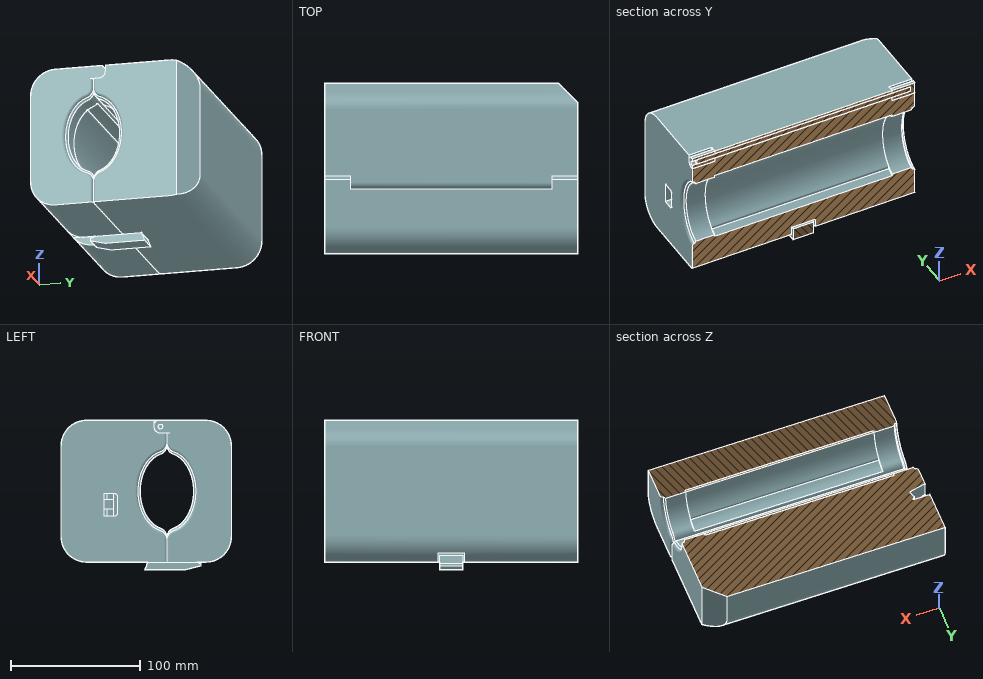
import cadquery as cq
import math

length = 196.0
back_depth = 82.0
front_depth = 50.0
height = 110.0
corner_radius = 20.0
corner_cut_x = 15.0
corner_cut_y = 15.0
half_length = length / 2
half_height = height / 2

pick_reach = 1.0

bore_y = 20.6
bore_z = 29.5
flare_radius = 7.5
mouth_growth = 1.8
mouth_depth = 2.1
taper_depth = 1.2
rim_radius = 2.0

end_wall = 20.0
liner_length = length - 2 * end_wall
liner_thickness = 1.5
liner_edge_y = 10.5
liner_edge_radius = 0.8

hinge_radius = 5.0
hinge_y = hinge_radius
hinge_z = half_height - hinge_radius
hinge_chamfer = 2.5
pin_diameter = 3.59
pin_recess = 4.0
pin_range = (-half_length + pin_recess, half_length - pin_recess)

latch_width = 18.0
latch_bottom = -60.84
latch_slot_roof = -48.0
latch_top = -49.6
latch_lip_y = 17.2
latch_heel_y = 14.9
latch_underside_y = -14.5
latch_tip_y = -26.4
latch_tip_low = -57.8
latch_tip_high = -56.1
latch_ramp_y = -12.0
latch_slot_width = 20.7

socket_y_low = 38.1
socket_y_high = 48.6
socket_floor_y = 41.3
socket_crease_y = 43.6
socket_ridge_y = 46.5
socket_z_low = -19.2
socket_z_high = -1.8
socket_depth = 14.0
socket_ridge_depth = 12.0
socket_crease_depth = 13.0
socket_corner = 1.7
groove_z_low = -13.6
groove_z_high = -6.6
groove_depth = 16.0
groove_crease_depth = 15.0


def box(x_range, y_range, z_range):
    ranges = (x_range, y_range, z_range)
    size = [high - low for low, high in ranges]
    corner = tuple(low for low, high in ranges)
    return cq.Workplane("XY").box(*size, centered=False).translate(corner)


def flare_touch_angle(radius_y, radius_z):
    """Angle on the oval, from the Y axis, where the flare along the split runs into it."""
    bisection_steps = 50
    low, high = math.pi / 4, math.pi / 2
    for _ in range(bisection_steps):
        angle = (low + high) / 2
        normal_y = math.cos(angle) / radius_y
        normal_z = math.sin(angle) / radius_z
        flare_center_y = radius_y * math.cos(angle) + flare_radius * normal_y / math.hypot(normal_y, normal_z)
        if flare_center_y > flare_radius:
            low = angle
        else:
            high = angle
    return angle


def half_bore_section(x, growth):
    """Closed outline of the +Y half of the bore at one place along X."""
    radius_y = bore_y + growth
    radius_z = bore_z + growth
    angle = flare_touch_angle(radius_y, radius_z)
    touch_y = radius_y * math.cos(angle)
    touch_z = radius_z * math.sin(angle)
    tip_z = touch_z + math.sqrt(flare_radius**2 - (flare_radius - touch_y) ** 2)
    sweep = math.atan2(tip_z - touch_z, flare_radius - touch_y)
    middle_y = flare_radius - flare_radius * math.cos(sweep / 2)
    middle_z = tip_z - flare_radius * math.sin(sweep / 2)
    outline = (
        cq.Workplane("YZ", origin=(x, 0, 0))
        .moveTo(0, -tip_z)
        .threePointArc((middle_y, -middle_z), (touch_y, -touch_z))
        .ellipseArc(radius_y, radius_z, -math.degrees(angle), math.degrees(angle), startAtCurrent=True)
        .threePointArc((middle_y, middle_z), (0, tip_z))
        .close()
    )
    return outline.val()


def half_bore():
    """The +Y half of the bore, straight in the middle with a short taper to each wider mouth."""
    mouth_x = half_length - mouth_depth
    straight_x = mouth_x - taper_depth
    stations = [
        (-half_length, mouth_growth),
        (-mouth_x, mouth_growth),
        (-straight_x, 0),
        (straight_x, 0),
        (mouth_x, mouth_growth),
        (half_length, mouth_growth),
    ]
    pieces = []
    for start, end in zip(stations, stations[1:]):
        sections = [half_bore_section(*start), half_bore_section(*end)]
        pieces.append(cq.Workplane(obj=cq.Solid.makeLoft(sections, True)))
    bore = pieces[0]
    for piece in pieces[1:]:
        bore = bore.union(piece)
    return bore


def outer_block():
    block = box((-half_length, half_length), (-front_depth, back_depth), (-half_height, half_height))
    block = block.edges("|X").fillet(corner_radius)
    corner_cut = (
        cq.Workplane("XY")
        .moveTo(half_length, back_depth)
        .lineTo(half_length - corner_cut_x, back_depth)
        .lineTo(half_length, back_depth - corner_cut_y)
        .close()
        .extrude(height, both=True)
    )
    return block.cut(corner_cut)


def bore_with_round_rims():
    """The +Y half of the bore together with the rounding of the split and bore edges at both ends."""
    blank = box((-half_length, half_length), (0, back_depth), (-half_height, half_height))
    bored = blank.cut(half_bore())
    reach_y = bore_y + mouth_growth
    reach_z = half_height - pick_reach
    inside = cq.selectors.BoxSelector((-length, -pick_reach, -reach_z), (length, reach_y, reach_z))
    bored = bored.faces("<X or >X").edges(inside).fillet(rim_radius)
    return blank.cut(bored)


def liner_pocket():
    """Both sides of the wider middle stretch of the bore, where the liner shells lie."""
    radius_y = bore_y + liner_thickness
    radius_z = bore_z + liner_thickness
    profile = cq.Workplane("YZ").ellipse(radius_z, radius_y, rotation_angle=90)
    return profile.extrude(liner_length / 2, both=True)


def knuckle_zone(x_range):
    """Square space from the split to the far side of the hinge, its lower far corner rounded about the pin."""
    zone = box(x_range, (0, hinge_y + hinge_radius), (hinge_z - hinge_radius, half_height))
    return zone.edges("|X and >Y and <Z").fillet(hinge_radius)


def end_ranges():
    inner_x = liner_length / 2
    return [(-half_length, -inner_x), (inner_x, half_length)]


def hinge_cylinder(x_range):
    profile = cq.Workplane("YZ", origin=(x_range[0], hinge_y, hinge_z)).circle(pin_diameter / 2)
    return profile.extrude(x_range[1] - x_range[0])


def latch_slot():
    half_width = latch_slot_width / 2
    return box((-half_width, half_width), (-front_depth, latch_heel_y), (-half_height, latch_slot_roof))


def cable_socket():
    """Socket tapered on its -Y wall, with a ridged floor and a deeper groove across the floor."""
    face_x = -half_length
    socket = (
        cq.Workplane("XY", origin=(0, 0, socket_z_low))
        .moveTo(face_x, socket_y_low)
        .lineTo(face_x + socket_depth, socket_floor_y)
        .lineTo(face_x + socket_crease_depth, socket_crease_y)
        .lineTo(face_x + socket_ridge_depth, socket_ridge_y)
        .lineTo(face_x + socket_depth, socket_y_high)
        .lineTo(face_x, socket_y_high)
        .close()
        .extrude(socket_z_high - socket_z_low)
    )
    corner_cutter = (
        cq.Workplane("YZ", origin=(face_x, 0, 0))
        .moveTo(socket_y_low, socket_z_low + socket_corner)
        .lineTo(socket_y_low + socket_corner, socket_z_low)
        .lineTo(socket_y_high, socket_z_low)
        .lineTo(socket_y_high, socket_z_high)
        .lineTo(socket_y_low + socket_corner, socket_z_high)
        .lineTo(socket_y_low, socket_z_high - socket_corner)
        .close()
        .extrude(socket_depth)
    )
    groove = (
        cq.Workplane("XY", origin=(0, 0, groove_z_low))
        .moveTo(face_x, socket_floor_y)
        .lineTo(face_x + groove_depth, socket_floor_y)
        .lineTo(face_x + groove_crease_depth, socket_crease_y)
        .lineTo(face_x + socket_depth, socket_y_high)
        .lineTo(face_x, socket_y_high)
        .close()
        .extrude(groove_z_high - groove_z_low)
    )
    return socket.intersect(corner_cutter).union(groove)


def housing_blank(y_range, bore):
    """One side of the outer block with its bore, liner pocket and latch slot cut."""
    side = box((-half_length, half_length), y_range, (-half_height, half_height))
    return outer_block().intersect(side).cut(bore).cut(liner_pocket()).cut(latch_slot())


def make_back_housing(bore):
    back = housing_blank((0, back_depth), bore)
    for x_range in end_ranges():
        back = back.cut(knuckle_zone(x_range))
    knuckle_edge = cq.selectors.BoxSelector(
        (-pick_reach, -pick_reach, half_height - pick_reach),
        (pick_reach, pick_reach, half_height + pick_reach),
    )
    back = back.edges(knuckle_edge).fillet(hinge_radius)
    return back.cut(hinge_cylinder(pin_range)).cut(cable_socket())


def make_front_housing(bore):
    front = housing_blank((-front_depth, 0), bore.mirror("XZ"))
    for x_range in end_ranges():
        root = box(x_range, (-rim_radius, 0), (hinge_z - hinge_radius, half_height))
        knuckle = knuckle_zone(x_range).edges("|X and >Y and >Z").chamfer(hinge_chamfer)
        front = front.union(root).union(knuckle)
    return front.cut(hinge_cylinder((-half_length, pin_range[1])))


def make_liner(side):
    """Shell on one side of the bore: side is 1 for +Y and -1 for -Y."""
    liner_y = bore_y + liner_thickness
    zone = box((-half_length, half_length), (liner_edge_y, liner_y), (-half_height, half_height))
    liner = liner_pocket().intersect(zone).cut(half_bore())
    inner_edge_z = bore_z * math.sqrt(1 - (liner_edge_y / bore_y) ** 2)
    inner_edge_reach = inner_edge_z + liner_thickness / 2
    inner_edges = cq.selectors.BoxSelector(
        (-pick_reach, liner_edge_y - pick_reach, -inner_edge_reach),
        (pick_reach, liner_edge_y + pick_reach, inner_edge_reach),
    )
    liner = liner.edges(inner_edges).fillet(liner_edge_radius)
    return liner if side > 0 else liner.mirror("XZ")


def make_latch():
    profile = (
        cq.Workplane("YZ", origin=(-latch_width / 2, 0, 0))
        .moveTo(latch_heel_y, latch_top)
        .lineTo(latch_heel_y, -half_height)
        .lineTo(latch_lip_y, latch_bottom)
        .lineTo(latch_underside_y, latch_bottom)
        .lineTo(latch_tip_y, latch_tip_low)
        .lineTo(latch_tip_y, latch_tip_high)
        .lineTo(latch_ramp_y, latch_top)
        .close()
    )
    return profile.extrude(latch_width)


split_bore = bore_with_round_rims()
back_housing = make_back_housing(split_bore)
front_housing = make_front_housing(split_bore)
liners = [make_liner(side) for side in (1, -1)]
hinge_pin = hinge_cylinder(pin_range)
latch = make_latch()

result = cq.Compound.makeCompound(
    [
        back_housing.val(),
        front_housing.val(),
        *[liner.val() for liner in liners],
        hinge_pin.val(),
        latch.val(),
    ]
)